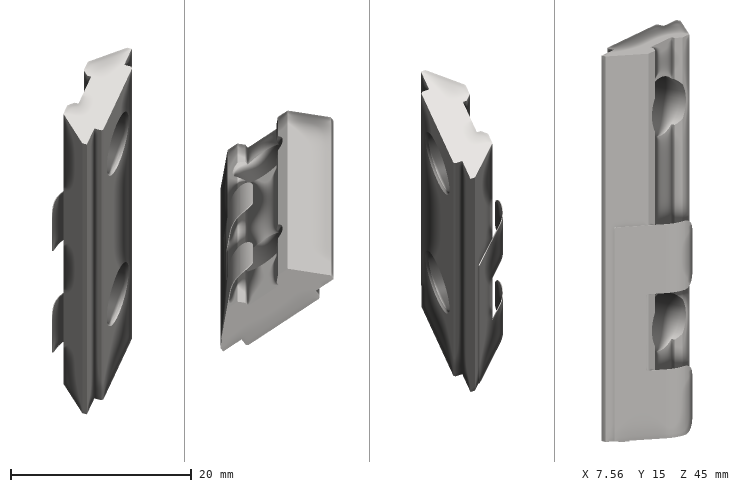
import cadquery as cq
import math

TOTAL_LENGTH = 45.0
NUB_HEIGHT = 0.1
BAR_LENGTH = TOTAL_LENGTH - NUB_HEIGHT

BAR_WIDTH = 15.0
BAR_DEPTH = 4.95
PAD_WIDTH = 10.0
PAD_HEIGHT = 1.0
PAD_CHAMFER = 0.2
FLANGE_EDGE = 0.55
GROOVE_WIDTH = 4.25
GROOVE_DEPTH = 1.1
GROOVE_CHAMFER = 0.65

HOLE_DIAMETER = 6.8
HOLE_CHAMFER = 0.25
HOLE_PITCH = 25.0
LOWER_HOLE_Z = 12.4

CLIP_THICKNESS = 0.1
CLIP_LENGTH = 24.95
CLIP_EDGE_Y = 6.8
CLIP_CORNER_RADIUS = 0.22
BEND_START_Y = 2.7
BEND_RADIUS = 3.8
CLIP_TIP_Y = -1.05
TAB_LENGTH = 8.0
TAB_RADIUS = 1.65
NOTCH_EDGE_Y = 4.35
NUB_OUTER_Y = 6.5
NUB_WIDTH = 0.8

HALF_WIDTH = BAR_WIDTH / 2
SLOPE_START_X = -PAD_HEIGHT - FLANGE_EDGE


def slope_x(y):
    """X of the bar's sloped +Y side, or of its extension, at a given Y."""
    return SLOPE_START_X - (HALF_WIDTH - y)


def make_bar():
    half_pad = PAD_WIDTH / 2
    half_groove = GROOVE_WIDTH / 2
    front_edge_y = HALF_WIDTH - (BAR_DEPTH + SLOPE_START_X)
    half_profile = [
        (0, half_pad - PAD_CHAMFER),
        (-PAD_CHAMFER, half_pad),
        (-PAD_HEIGHT, half_pad),
        (-PAD_HEIGHT, HALF_WIDTH),
        (SLOPE_START_X, HALF_WIDTH),
        (-BAR_DEPTH, front_edge_y),
        (-BAR_DEPTH, half_groove + GROOVE_CHAMFER),
        (-BAR_DEPTH + GROOVE_CHAMFER, half_groove),
        (-BAR_DEPTH + GROOVE_DEPTH, half_groove),
    ]
    mirrored = [(x, -y) for x, y in reversed(half_profile)]
    bar = cq.Workplane("XY").polyline(half_profile + mirrored).close().extrude(BAR_LENGTH)
    hole_centers = [(0, LOWER_HOLE_Z), (0, LOWER_HOLE_Z + HOLE_PITCH)]
    holes = (
        cq.Workplane("YZ")
        .pushPoints(hole_centers)
        .circle(HOLE_DIAMETER / 2)
        .extrude(-BAR_DEPTH)
    )
    rims = (
        cq.Workplane("YZ")
        .pushPoints(hole_centers)
        .circle(HOLE_DIAMETER / 2 + HOLE_CHAMFER)
        .extrude(-HOLE_CHAMFER, taper=45)
    )
    return bar.cut(holes).cut(rims)


def make_bent_sheet():
    """Sheet lying on the sloped side, then curving round past the groove."""
    diagonal = math.sqrt(0.5)
    center_x = slope_x(BEND_START_Y) + BEND_RADIUS * diagonal
    center_y = BEND_START_Y - BEND_RADIUS * diagonal
    start_angle = math.radians(135)
    end_angle = math.pi + math.asin((center_y - CLIP_TIP_Y) / BEND_RADIUS)
    middle_angle = (start_angle + end_angle) / 2
    outer_radius = BEND_RADIUS + CLIP_THICKNESS

    def arc_point(radius, angle):
        return (center_x + radius * math.cos(angle), center_y + radius * math.sin(angle))

    offset = CLIP_THICKNESS * diagonal
    edge_x = slope_x(CLIP_EDGE_Y)
    return (
        cq.Workplane("XY", origin=(0, 0, -NUB_HEIGHT))
        .moveTo(edge_x, CLIP_EDGE_Y)
        .lineTo(*arc_point(BEND_RADIUS, start_angle))
        .threePointArc(arc_point(BEND_RADIUS, middle_angle), arc_point(BEND_RADIUS, end_angle))
        .lineTo(*arc_point(outer_radius, end_angle))
        .threePointArc(arc_point(outer_radius, middle_angle), arc_point(outer_radius, start_angle))
        .lineTo(edge_x - offset, CLIP_EDGE_Y + offset)
        .close()
        .extrude(CLIP_LENGTH + NUB_HEIGHT)
    )


def outline_block(y_min, y_max, z_min, z_max):
    """Block spanning the bar and clip in X, used to trim the clip's outline."""
    reach = 2 * BAR_DEPTH
    return cq.Workplane("XY").box(reach, y_max - y_min, z_max - z_min, centered=False).translate(
        (-reach, y_min, z_min)
    )


def make_clip():
    edge_y = CLIP_EDGE_Y + CLIP_THICKNESS
    outline = outline_block(NOTCH_EDGE_Y, edge_y, 0, CLIP_LENGTH)
    outline = outline.edges("|X and >Y and >Z").fillet(CLIP_CORNER_RADIUS)
    for tab_z in (0, CLIP_LENGTH - TAB_LENGTH):
        tab = outline_block(CLIP_TIP_Y, NOTCH_EDGE_Y, tab_z, tab_z + TAB_LENGTH)
        outline = outline.union(tab.edges("|X and <Y").fillet(TAB_RADIUS))
    notch_edges = cq.selectors.BoxSelector(
        (-3 * BAR_DEPTH, NOTCH_EDGE_Y - CLIP_THICKNESS, TAB_LENGTH - CLIP_THICKNESS),
        (BAR_DEPTH, NOTCH_EDGE_Y + CLIP_THICKNESS, CLIP_LENGTH - TAB_LENGTH + CLIP_THICKNESS),
    )
    outline = outline.edges("|X").edges(notch_edges).fillet(CLIP_CORNER_RADIUS)
    nub = outline_block(NUB_OUTER_Y - NUB_WIDTH, NUB_OUTER_Y, -NUB_HEIGHT, 0)
    return make_bent_sheet().intersect(outline.union(nub))


bar = make_bar()
clip = make_clip()
result = cq.Compound.makeCompound([bar.solids().val(), clip.solids().val()])